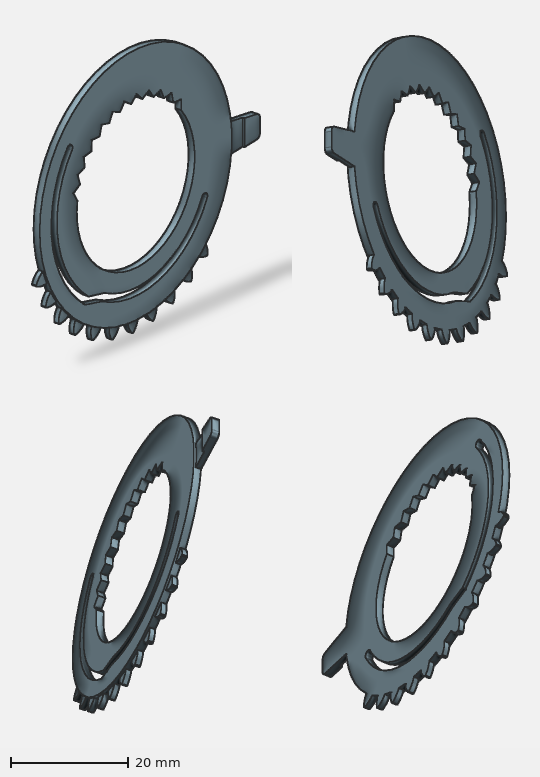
import cadquery as cq
import math

BODY_THICKNESS = 1.4
THIN_THICKNESS = 1.0

OUTER_RADIUS = 25.3
BORE_RADIUS = 15.5

TOOTH_TIP_RADIUS = 27.65
TOOTH_PITCH = 360 / 32
TOOTH_COUNT = 11
FIRST_TOOTH_ANGLE = 225.7
TOOTH_BASE_HALF_WIDTH = 1.36
TOOTH_FLANK_RADIUS = 26.6
TOOTH_FLANK_HALF_WIDTH = 0.95
TOOTH_TIP_HALF_WIDTH = 0.13
TOOTH_ROOT_OVERLAP = 0.5

NOTCH_DEPTH_RADIUS = 16.85
NOTCH_PITCH = 11.03
NOTCH_COUNT = 12
FIRST_NOTCH_ANGLE = 13.75
NOTCH_CREST_RADIUS = 15.53

SLOT_WIDTH = 1.5
INNER_TRACK_RADIUS = 20.0
OUTER_TRACK_RADIUS = INNER_TRACK_RADIUS + SLOT_WIDTH
INNER_TRACK_START = 205.0
RAMP_START = 295.5
RAMP_END = 306.7
OUTER_TRACK_END = 396.0

TAB_REACH = 32.73
TAB_TIP_HALF_WIDTH = 2.28
TAB_TAPER = 6.1
TAB_ROOT_REACH = 24.0
TAB_CORNER_RADIUS = 1.0
TAB_PAD_LENGTH = 4.12

FACE = cq.Plane(origin=(0, 0, 0), xDir=(0, -1, 0), normal=(-1, 0, 0))


def sketch():
    return cq.Workplane(FACE)


def polar(radius, angle):
    """Point at a radius and an angle in degrees, counted from -Y toward +Z."""
    turn = math.radians(angle)
    return (radius * math.cos(turn), radius * math.sin(turn))


def thicken(outline, thickness):
    """Extrude a closed outline from the X = 0 face toward +X."""
    return outline.extrude(-thickness)


def make_disc():
    return thicken(sketch().circle(OUTER_RADIUS), BODY_THICKNESS)


def make_tooth(angle):
    """One thin gear tooth with bulging flanks, pointing along the given angle."""
    root = OUTER_RADIUS - TOOTH_ROOT_OVERLAP
    outline = (
        sketch()
        .transformed(rotate=(0, 0, angle))
        .moveTo(root, -TOOTH_BASE_HALF_WIDTH)
        .lineTo(OUTER_RADIUS, -TOOTH_BASE_HALF_WIDTH)
        .threePointArc(
            (TOOTH_FLANK_RADIUS, -TOOTH_FLANK_HALF_WIDTH),
            (TOOTH_TIP_RADIUS, -TOOTH_TIP_HALF_WIDTH),
        )
        .lineTo(TOOTH_TIP_RADIUS, TOOTH_TIP_HALF_WIDTH)
        .threePointArc(
            (TOOTH_FLANK_RADIUS, TOOTH_FLANK_HALF_WIDTH),
            (OUTER_RADIUS, TOOTH_BASE_HALF_WIDTH),
        )
        .lineTo(root, TOOTH_BASE_HALF_WIDTH)
        .close()
    )
    return thicken(outline, THIN_THICKNESS)


def make_tab():
    """Tapered tab, thinned on its +X face between the disc and the pad at its tip."""
    length = TAB_REACH - TAB_ROOT_REACH
    root_half_width = TAB_TIP_HALF_WIDTH + length * math.tan(math.radians(TAB_TAPER))
    outline = sketch().polyline(
        [
            (-TAB_ROOT_REACH, root_half_width),
            (-TAB_REACH, TAB_TIP_HALF_WIDTH),
            (-TAB_REACH, -TAB_TIP_HALF_WIDTH),
            (-TAB_ROOT_REACH, -root_half_width),
        ]
    ).close()
    tab = thicken(outline, BODY_THICKNESS).edges("|X and >Y").fillet(TAB_CORNER_RADIUS)
    relief_length = length - TAB_PAD_LENGTH
    relief = cq.Workplane("XY").box(
        BODY_THICKNESS - THIN_THICKNESS,
        relief_length,
        2 * root_half_width,
        centered=(False, False, True),
    )
    return tab.cut(relief.translate((THIN_THICKNESS, TAB_ROOT_REACH, 0)))


def make_bore():
    """Round bore with a run of V notches along its upper side."""
    first_crest = FIRST_NOTCH_ANGLE - NOTCH_PITCH / 2
    points = [polar(NOTCH_CREST_RADIUS, first_crest)]
    for i in range(NOTCH_COUNT):
        notch_angle = FIRST_NOTCH_ANGLE + i * NOTCH_PITCH
        points.append(polar(NOTCH_DEPTH_RADIUS, notch_angle))
        points.append(polar(NOTCH_CREST_RADIUS, notch_angle + NOTCH_PITCH / 2))
    notches = thicken(sketch().polyline([(0, 0)] + points).close(), BODY_THICKNESS)
    return thicken(sketch().circle(BORE_RADIUS), BODY_THICKNESS).union(notches)


def make_cam_slot():
    half = SLOT_WIDTH / 2
    inner_low = INNER_TRACK_RADIUS - half
    inner_high = INNER_TRACK_RADIUS + half
    outer_low = OUTER_TRACK_RADIUS - half
    outer_high = OUTER_TRACK_RADIUS + half
    inner_middle = (INNER_TRACK_START + RAMP_START) / 2
    outer_middle = (RAMP_END + OUTER_TRACK_END) / 2
    inner_cap = math.degrees(half / INNER_TRACK_RADIUS)
    outer_cap = math.degrees(half / OUTER_TRACK_RADIUS)
    outline = (
        sketch()
        .moveTo(*polar(inner_high, INNER_TRACK_START))
        .threePointArc(polar(inner_high, inner_middle), polar(inner_high, RAMP_START))
        .lineTo(*polar(outer_high, RAMP_END))
        .threePointArc(polar(outer_high, outer_middle), polar(outer_high, OUTER_TRACK_END))
        .threePointArc(
            polar(OUTER_TRACK_RADIUS, OUTER_TRACK_END + outer_cap),
            polar(outer_low, OUTER_TRACK_END),
        )
        .threePointArc(polar(outer_low, outer_middle), polar(outer_low, RAMP_END))
        .lineTo(*polar(inner_low, RAMP_START))
        .threePointArc(polar(inner_low, inner_middle), polar(inner_low, INNER_TRACK_START))
        .threePointArc(
            polar(INNER_TRACK_RADIUS, INNER_TRACK_START - inner_cap),
            polar(inner_high, INNER_TRACK_START),
        )
        .close()
    )
    return thicken(outline, BODY_THICKNESS)


body = make_disc().union(make_tab())
for i in range(TOOTH_COUNT):
    body = body.union(make_tooth(FIRST_TOOTH_ANGLE + i * TOOTH_PITCH))

result = body.cut(make_bore()).cut(make_cam_slot())